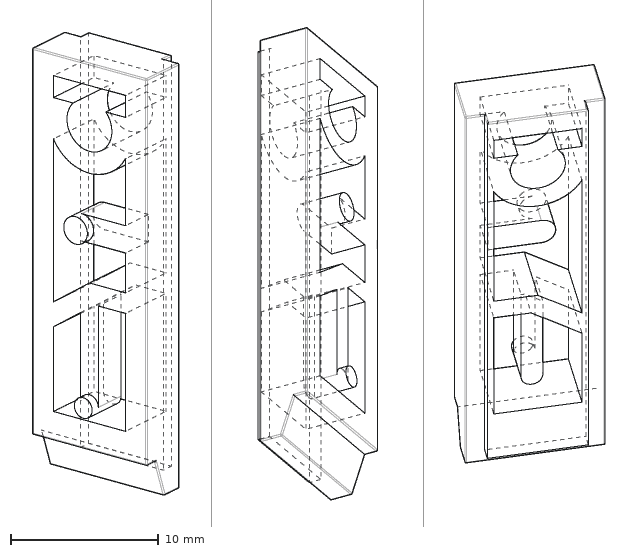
import cadquery as cq
import math

SLAB_WIDTH = 9.7
SLAB_DEPTH = 3.7
HEIGHT = 31.0
EDGE_RADIUS = 0.1

FOOT_HEIGHT = 2.8
FOOT_LEDGE = 1.0
FOOT_THICKNESS = 1.7

RIB_WIDTH = 7.0
RIB_DEPTH = 0.9
RIB_BOTTOM = 1.0

OPENING_WIDTH = 6.1
OPENING_BOTTOM = 4.9
OPENING_TOP = 29.4

RING_CENTER_Z = 26.5
RING_INNER_RADIUS = 1.9
RING_OUTER_RADIUS = 3.5
RING_TOP = 27.8

WEB_TOP = 15.0
WEB_DROP = 2.1
WEB_THICKNESS = 1.5

BAR_DEPTH = 2.6
PIN_LENGTH = 0.7
UPPER_BAR_WIDTH = 2.0
UPPER_PIN_X = -0.65
UPPER_PIN_Z = 18.9
LOWER_BAR_WIDTH = 1.5
LOWER_PIN_Z = 6.1

TOTAL_DEPTH = SLAB_DEPTH + RIB_DEPTH
OPENING_HALF = OPENING_WIDTH / 2
WEB_UNDERSIDE = WEB_TOP - WEB_THICKNESS


def front_plane():
    """Sketch plane on the front face: local x is X, local y is Z, the normal is -Y."""
    return cq.Workplane("XZ")


def extrude_back(sketch, depth):
    """Extrude a front-plane sketch towards +Y."""
    return sketch.extrude(-depth)


def make_block(width, y_start, y_end, z_bottom, z_top):
    """Box centred on X between the given Y and Z limits."""
    block = cq.Workplane("XY").box(width, y_end - y_start, z_top - z_bottom, centered=(True, False, False))
    return block.translate((0, y_start, z_bottom))


def make_slab():
    """Slab whose lower end narrows to the foot."""
    side_profile = [
        (0, HEIGHT),
        (0, FOOT_HEIGHT),
        (FOOT_LEDGE, FOOT_HEIGHT),
        (SLAB_DEPTH - FOOT_THICKNESS, 0),
        (SLAB_DEPTH, 0),
        (SLAB_DEPTH, HEIGHT),
    ]
    return cq.Workplane("YZ").polyline(side_profile).close().extrude(SLAB_WIDTH / 2, both=True)


def make_body():
    """Slab and rib, with rounded edges around the top, bottom, side and front faces."""
    rib = make_block(RIB_WIDTH, SLAB_DEPTH, TOTAL_DEPTH, RIB_BOTTOM, HEIGHT)
    body = make_slab().union(rib)
    return body.faces(">Z or <Z or >X or <X or <Y").edges().fillet(EDGE_RADIUS)


def make_ring():
    """Full-depth ring, trimmed to the opening width and to its flat top."""
    sketch = front_plane().center(0, RING_CENTER_Z).circle(RING_OUTER_RADIUS).circle(RING_INNER_RADIUS)
    ring = extrude_back(sketch, TOTAL_DEPTH)
    return ring.intersect(make_block(OPENING_WIDTH, 0, TOTAL_DEPTH, OPENING_BOTTOM, RING_TOP))


def make_bent_web():
    """Full-depth web of constant thickness, bent on the centre line."""
    slope = math.atan2(WEB_DROP, OPENING_HALF)
    sloped_height = WEB_THICKNESS / math.cos(slope)
    underside_bend_x = WEB_THICKNESS * math.tan(slope / 2)
    low_end = WEB_TOP - WEB_DROP
    outline = [
        (OPENING_HALF, WEB_TOP),
        (0, WEB_TOP),
        (-OPENING_HALF, low_end),
        (-OPENING_HALF, low_end - sloped_height),
        (underside_bend_x, WEB_UNDERSIDE),
        (OPENING_HALF, WEB_UNDERSIDE),
    ]
    return extrude_back(front_plane().polyline(outline).close(), TOTAL_DEPTH)


def make_pin(x, z, diameter):
    """Cylinder that forms the round end of a bar and stands proud of the front face."""
    sketch = front_plane().workplane(offset=PIN_LENGTH).center(x, z).circle(diameter / 2)
    return extrude_back(sketch, PIN_LENGTH + BAR_DEPTH)


def make_upper_bar():
    """Horizontal bar from the +X wall of the opening to the upper pin."""
    length = OPENING_HALF - UPPER_PIN_X
    sketch = front_plane().center(UPPER_PIN_X + length / 2, UPPER_PIN_Z).rect(length, UPPER_BAR_WIDTH)
    bar = extrude_back(sketch, BAR_DEPTH)
    return bar.union(make_pin(UPPER_PIN_X, UPPER_PIN_Z, UPPER_BAR_WIDTH))


def make_lower_bar():
    """Vertical bar from inside the bent web down to the lower pin."""
    joint_z = WEB_UNDERSIDE + WEB_THICKNESS / 2
    bar = make_block(LOWER_BAR_WIDTH, 0, BAR_DEPTH, LOWER_PIN_Z, joint_z)
    return bar.union(make_pin(0, LOWER_PIN_Z, LOWER_BAR_WIDTH))


result = make_body().cut(make_block(OPENING_WIDTH, 0, TOTAL_DEPTH, OPENING_BOTTOM, OPENING_TOP))
for insert in (make_ring(), make_bent_web(), make_upper_bar(), make_lower_bar()):
    result = result.union(insert)